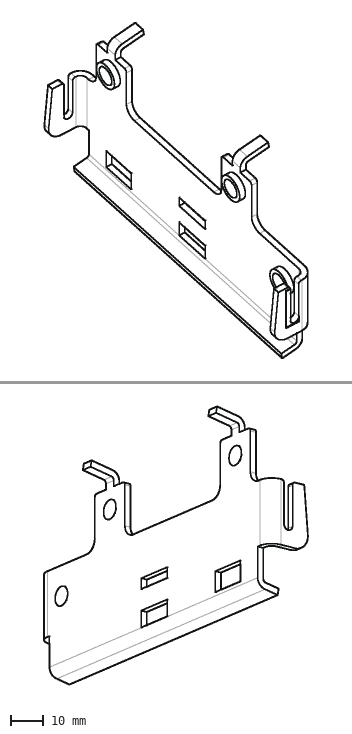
import cadquery as cq
import math

sheet = 2.2
total_width = 116.6
pad_height = 0.2
bracket_half_width = (total_width - pad_height) / 2

leg_turn = math.radians(80)
leg_inner_radius = 1.0
leg_outer_radius = leg_inner_radius + sheet
hook_length = 8.2
hook_width = 4.0
hook_bend_z = 55.7
lip_length = 5.1
lip_width = 104.9
lip_bend_z = leg_outer_radius * math.sin(leg_turn) + lip_length * math.cos(leg_turn)

shoulder_z = 35.5
ear_centers_x = (-41.2, 22.0)
ear_width = 15.3
ear_top_z = 53.8
ear_foot_radius = 4.0
ear_corner_radius = 1.0

tab_bottom_z = 14.1
tab_inner_radius = 2.3
tab_outer_radius = tab_inner_radius + sheet
tab_bend_x = bracket_half_width - tab_outer_radius
tab_top_depth = 13.6
tab_edge_slope = math.radians(5)
tab_corner_radius = 5.0
tab_slot_near = 5.8
tab_slot_width = 3.3
tab_slot_depth = 16.0
tab_slot_lip_radius = 1.0

pad_near = 5.8
pad_far = 10.7
pad_top_z = 34.4
pad_bottom_z = 18.9

boss_diameter = 9.1
boss_height = 2.2
boss_hole_diameter = 6.3
ear_boss_z = 46.8
side_boss_center = (46.4, 25.4)

middle_left = -6.9
middle_right = 6.2
windows = (
    (middle_left, 16.5, middle_right, 20.0),
    (middle_left, lip_bend_z, middle_right, 9.6),
    (-43.7, 5.2, -31.1, 12.0),
)


def block(x_range, y_range, z_range):
    """Box between two limits along each axis."""
    sizes = [high - low for low, high in (x_range, y_range, z_range)]
    corner = (x_range[0], y_range[0], z_range[0])
    return cq.Workplane("XY").box(*sizes, centered=False).translate(corner)


def plate_block(left, bottom, right, top):
    """Rectangle in X and Z, as thick as the sheet."""
    return block((left, right), (-sheet, 0), (bottom, top))


def bent_leg(width, length):
    """Strip that rises from Z = 0, bends towards +Y and runs on straight; Y = 0 is its inner face."""

    def on_bend(radius, angle):
        return (leg_inner_radius - radius * math.cos(angle), radius * math.sin(angle))

    def along_leg(point):
        return (point[0] + length * math.sin(leg_turn), point[1] + length * math.cos(leg_turn))

    outer_end = on_bend(leg_outer_radius, leg_turn)
    inner_end = on_bend(leg_inner_radius, leg_turn)
    return (
        cq.Workplane("YZ")
        .moveTo(-sheet, 0)
        .threePointArc(on_bend(leg_outer_radius, leg_turn / 2), outer_end)
        .lineTo(*along_leg(outer_end))
        .lineTo(*along_leg(inner_end))
        .lineTo(*inner_end)
        .threePointArc(on_bend(leg_inner_radius, leg_turn / 2), (0, 0))
        .close()
        .extrude(width / 2, both=True)
    )


def ear(center_x):
    """Upright ear with rounded top corners and flared feet, carrying a hook."""
    half = ear_width / 2
    foot = half + ear_foot_radius
    foot_top_z = shoulder_z + ear_foot_radius
    corner_z = ear_top_z - ear_corner_radius
    corner_x = half - ear_corner_radius
    outline = (
        cq.Workplane("XZ")
        .moveTo(-foot, shoulder_z)
        .radiusArc((-half, foot_top_z), -ear_foot_radius)
        .lineTo(-half, corner_z)
        .radiusArc((-corner_x, ear_top_z), ear_corner_radius)
        .lineTo(corner_x, ear_top_z)
        .radiusArc((half, corner_z), ear_corner_radius)
        .lineTo(half, foot_top_z)
        .radiusArc((foot, shoulder_z), -ear_foot_radius)
        .close()
        .extrude(sheet)
    )
    neck = plate_block(-hook_width / 2, ear_top_z, hook_width / 2, hook_bend_z)
    hook = bent_leg(hook_width, hook_length).translate((0, 0, hook_bend_z))
    return outline.union(neck).union(hook).translate((center_x, 0, 0))


def tab_slot():
    """Cutter for the open-topped, round-bottomed slot that runs through both tabs."""
    slot_radius = tab_slot_width / 2
    slot_far = tab_slot_near + tab_slot_width
    round_z = shoulder_z - tab_slot_depth + slot_radius
    lip_z = shoulder_z - tab_slot_lip_radius
    return (
        cq.Workplane("YZ")
        .moveTo(-tab_slot_near + tab_slot_lip_radius, shoulder_z)
        .radiusArc((-tab_slot_near, lip_z), -tab_slot_lip_radius)
        .lineTo(-tab_slot_near, round_z)
        .threePointArc((-tab_slot_near - slot_radius, round_z - slot_radius), (-slot_far, round_z))
        .lineTo(-slot_far, lip_z)
        .radiusArc((-slot_far - tab_slot_lip_radius, shoulder_z), -tab_slot_lip_radius)
        .close()
        .extrude(total_width, both=True)
    )


def right_tab():
    """Quarter bend and forward tab at the +X end."""
    height = shoulder_z - tab_bottom_z
    half_turn = math.sqrt(0.5)

    def middle_of_bend(radius):
        return (tab_bend_x + radius * half_turn, -tab_outer_radius + radius * half_turn)

    bend = (
        cq.Workplane("XY", origin=(0, 0, tab_bottom_z))
        .moveTo(tab_bend_x, 0)
        .threePointArc(middle_of_bend(tab_outer_radius), (bracket_half_width, -tab_outer_radius))
        .lineTo(bracket_half_width - sheet, -tab_outer_radius)
        .threePointArc(middle_of_bend(tab_inner_radius), (tab_bend_x, -sheet))
        .close()
        .extrude(height)
    )
    bottom_depth = tab_top_depth + height * math.tan(tab_edge_slope)
    flat = (
        cq.Workplane("YZ", origin=(bracket_half_width - sheet, 0, 0))
        .moveTo(-tab_outer_radius, tab_bottom_z)
        .lineTo(-tab_outer_radius, shoulder_z)
        .lineTo(-tab_top_depth, shoulder_z)
        .lineTo(-bottom_depth, tab_bottom_z)
        .close()
        .extrude(sheet)
        .edges("|X and <Y and <Z")
        .fillet(tab_corner_radius)
    )
    return bend.union(flat)


def front_cylinder(center, diameter, height):
    """Cylinder from the back face of the plate to a height above its front face."""
    return cq.Workplane("XZ").center(*center).circle(diameter / 2).extrude(sheet + height)


result = plate_block(-tab_bend_x, tab_bottom_z, tab_bend_x, shoulder_z)
result = result.union(plate_block(-lip_width / 2, lip_bend_z, lip_width / 2, shoulder_z))
for center_x in ear_centers_x:
    result = result.union(ear(center_x))

lip = bent_leg(lip_width, lip_length).rotate((0, 0, 0), (1, 0, 0), 180)
result = result.union(lip.translate((0, -sheet, lip_bend_z)))

tab = right_tab()
pad = block(
    (bracket_half_width, bracket_half_width + pad_height),
    (-pad_far, -pad_near),
    (pad_bottom_z, pad_top_z),
)
result = result.union(tab).union(tab.mirror("YZ")).union(pad).cut(tab_slot())

boss_centers = [(center_x, ear_boss_z) for center_x in ear_centers_x] + [side_boss_center]
for center in boss_centers:
    result = result.union(front_cylinder(center, boss_diameter, boss_height))
    result = result.cut(front_cylinder(center, boss_hole_diameter, boss_height))

for window in windows:
    result = result.cut(plate_block(*window))